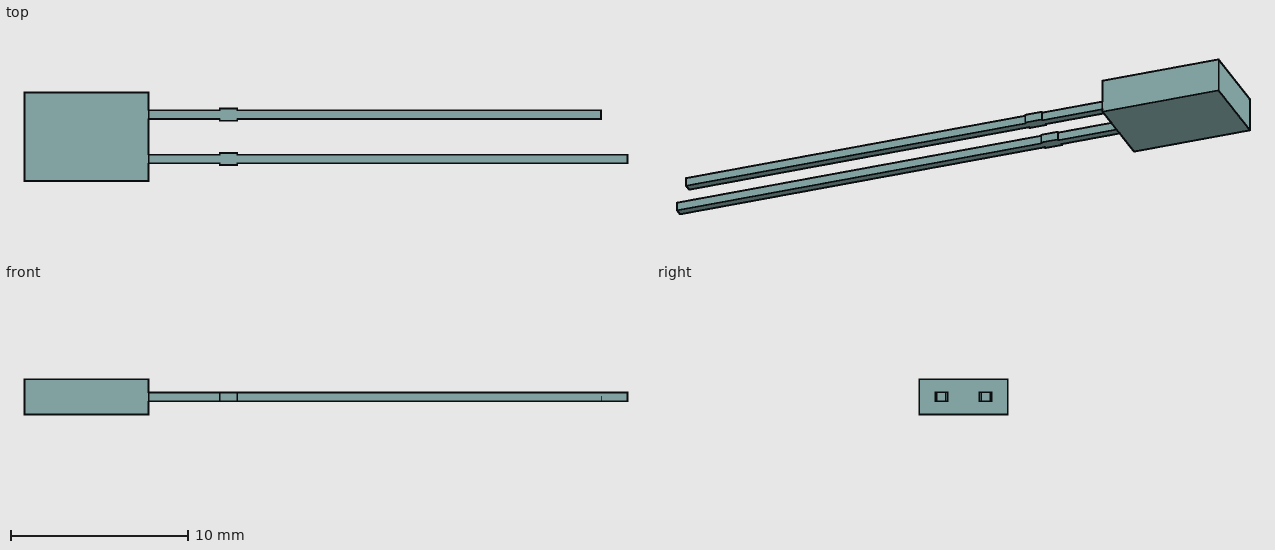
import cadquery as cq


body_length = 7.0
body_width = 5.0
body_height = 2.0

lead_thickness = 0.5
lead_pitch = 2.5
long_lead_length = 27.0
short_lead_length = 25.5

shoulder_offset = 4.0
shoulder_length = 1.0
shoulder_width = 0.7


def bar(start_x, length, width, height, center_y=0.0):
    """Rectangular bar running along +X from start_x, centred on Z = 0."""
    return (
        cq.Workplane("XY")
        .box(length, width, height, centered=(False, True, True))
        .translate((start_x, center_y, 0))
    )


def lead(length, center_y):
    """Square lead leaving the back of the body, with its shoulder."""
    wire = bar(body_length, length, lead_thickness, lead_thickness, center_y)
    shoulder = bar(
        body_length + shoulder_offset, shoulder_length, shoulder_width, lead_thickness, center_y
    )
    return wire.union(shoulder)


body = bar(0, body_length, body_width, body_height)
long_lead = lead(long_lead_length, -lead_pitch / 2)
short_lead = lead(short_lead_length, lead_pitch / 2)

result = body.union(long_lead).union(short_lead)